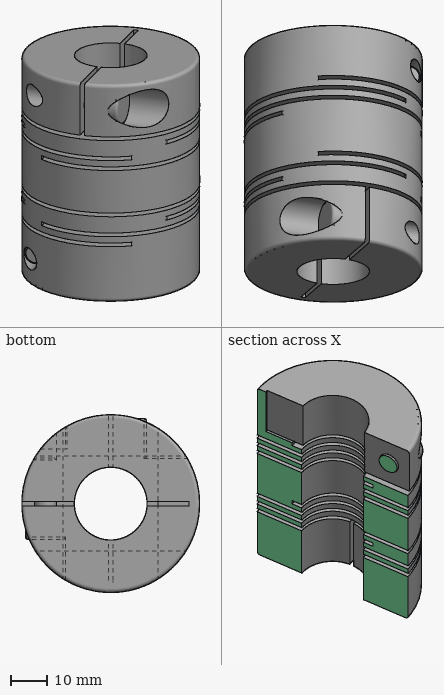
import cadquery as cq

length = 63.5
diameter = 49.0
bore_diameter = 20.0
rim_fillet = 1.0
radius = diameter / 2
half_length = length / 2

slot_height = 1.1
slot_pitch = 2.9
slot_reach = 13.1
top_slot_z = 16.1
group_offset = 22.3
upper_slot_sides = ["-Y", "+Y", "-X", "+X"]
lower_slot_sides = ["-Y", "+Y", "+X", "-X"]
side_directions = {"-X": (-1, 0), "+X": (1, 0), "-Y": (0, -1), "+Y": (0, 1)}

slit_width = 1.3
slit_reach = 21.6

screw_offset = 18.0
screw_end_distance = 7.5
shank_diameter = 6.0
shank_length = 16.45
head_diameter = 11.0
head_height = 6.0
head_face_distance = 9.9
head_fillet = 0.75
tip_chamfer = 0.5
head_seat_x = head_face_distance - head_height
tip_x = head_seat_x - shank_length


def make_body():
    body = cq.Workplane("XY").circle(radius).extrude(half_length, both=True)
    body = body.edges().fillet(rim_fillet)
    bore = cq.Workplane("XY").circle(bore_diameter / 2).extrude(half_length, both=True)
    return body.cut(bore)


def make_slot(side, z):
    """Flat saw cut that enters from one side and stops at a chord past the axis."""
    dx, dy = side_directions[side]
    shift = radius - slot_reach
    slab = cq.Workplane("XY").box(diameter, diameter, slot_height)
    return slab.translate((dx * shift, dy * shift, z))


def make_slit(bottom_z):
    """Vertical slit that opens the upper hub at -Y and also splits its far wall."""
    slit = cq.Workplane("XY").box(
        slit_width,
        radius + slit_reach,
        half_length - bottom_z,
        centered=(True, False, False),
    )
    return slit.translate((0, -radius, bottom_z))


def cylinder_along_x(cylinder_diameter, x_start, x_end):
    """Cylinder on the axis of the upper clamp screw."""
    axis_plane = cq.Plane(
        origin=(x_start, -screw_offset, half_length - screw_end_distance),
        xDir=(0, 1, 0),
        normal=(1, 0, 0),
    )
    return cq.Workplane(axis_plane).circle(cylinder_diameter / 2).extrude(x_end - x_start)


def make_screw_hole():
    """Through hole with a counterbore that is open at +X."""
    hole = cylinder_along_x(shank_diameter, -radius, radius)
    return hole.union(cylinder_along_x(head_diameter, head_seat_x, radius))


def make_screw():
    shank = cylinder_along_x(shank_diameter, tip_x, head_seat_x)
    shank = shank.faces("<X").chamfer(tip_chamfer)
    head = cylinder_along_x(head_diameter, head_seat_x, head_face_distance)
    head = head.faces(">X").edges().fillet(head_fillet)
    return shank.union(head)


def to_lower_hub(shape):
    """Half turn about the X = Y diagonal: swaps X with Y and turns the hub over."""
    return shape.rotate((0, 0, 0), (1, 1, 0), 180)


result = make_body()

for index, (upper_side, lower_side) in enumerate(zip(upper_slot_sides, lower_slot_sides)):
    z = top_slot_z - index * slot_pitch
    result = result.cut(make_slot(upper_side, z))
    result = result.cut(make_slot(lower_side, z - group_offset))

bottom_slot_z = top_slot_z - group_offset - (len(lower_slot_sides) - 1) * slot_pitch
result = result.cut(make_slit(top_slot_z + slot_height / 2))
result = result.cut(to_lower_hub(make_slit(-bottom_slot_z + slot_height / 2)))

screw_hole = make_screw_hole()
screw = make_screw()
result = result.cut(screw_hole).cut(to_lower_hub(screw_hole))
result = result.union(screw).union(to_lower_hub(screw))